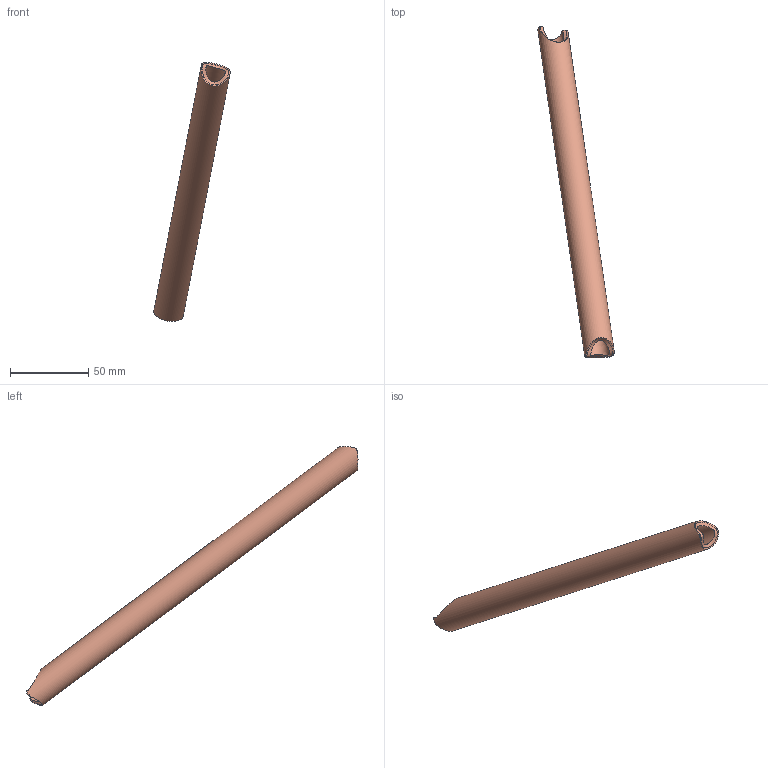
import cadquery as cq
import math

OUTER_DIAMETER = 19.05
WALL = 3.175
TRIM_RADIUS = 8.60
AXIS_DIRECTION = cq.Vector(0.144, -1.0, 0.746)
AXIS_POINT_OFFSET = (0.77, -0.18)

UPPER_JOINT = dict(station=134.29, sideways=0.51, turn=168.6, tilt=5.6, radius=9.40)
LOWER_JOINT = dict(station=-131.73, sideways=0.10, turn=169.2, tilt=-39.2, radius=8.53)
JOINT_HALF_LENGTH = 60.0

outer_radius = OUTER_DIAMETER / 2
inner_radius = outer_radius - WALL


def tube_plane():
    """Frame with its normal along the tube and its first axis square to the tube and X."""
    across = AXIS_DIRECTION.cross(cq.Vector(1, 0, 0))
    centred = cq.Plane(origin=(0, 0, 0), xDir=across, normal=AXIS_DIRECTION)
    return cq.Plane(
        origin=centred.toWorldCoords(AXIS_POINT_OFFSET),
        xDir=across,
        normal=AXIS_DIRECTION,
    )


def neighbouring_tube(station, sideways, turn, tilt, radius):
    """Solid envelope of a tube that this one butts against, in the tube's own frame."""
    turn = math.radians(turn)
    tilt = math.radians(tilt)
    centre = cq.Vector(-sideways * math.sin(turn), sideways * math.cos(turn), station)
    direction = cq.Vector(
        math.cos(tilt) * math.cos(turn),
        math.cos(tilt) * math.sin(turn),
        math.sin(tilt),
    )
    start = centre - direction * JOINT_HALF_LENGTH
    return cq.Solid.makeCylinder(radius, 2 * JOINT_HALF_LENGTH, start, direction)


def coped_sheet():
    """Cylindrical skin at the trim radius, running from one neighbouring tube to the other."""
    bottom = LOWER_JOINT["station"]
    length = UPPER_JOINT["station"] - bottom
    core = cq.Solid.makeCylinder(TRIM_RADIUS, length, cq.Vector(0, 0, bottom))
    for joint in (UPPER_JOINT, LOWER_JOINT):
        core = core.cut(neighbouring_tube(**joint))
    return max(core.Faces(), key=lambda face: face.Area())


def tube_wall():
    """Skin thickened squarely to both sides, so the end faces run radially through the wall."""
    sheet = coped_sheet()
    outer_layer = sheet.thicken(outer_radius - TRIM_RADIUS)
    inner_layer = sheet.thicken(inner_radius - TRIM_RADIUS)
    return outer_layer.fuse(inner_layer).clean()


result = cq.Workplane(obj=tube_wall().Solids()[0].moved(cq.Location(tube_plane())))